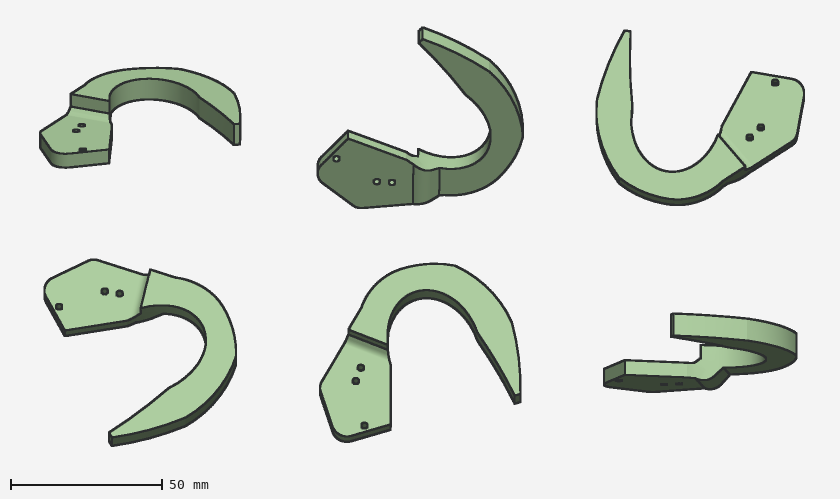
import cadquery as cq
import math


hook_top_y = 27.0
tip_x = 25.0
tip_upper_y = 22.1
tip_lower_y = 20.1
plate_bottom_y = hook_top_y - 67.0
plate_right_x = 20.0
plate_shoulder_y = -21.4

throat_half_width = 20.0
throat_half_height = 15.0

back_corner = (-25.0, 15.1)
back_curve_points = [(-28.1, 7.5), (-29.1, 1.8), (-28.9, -5.6), (-27.0, -11.0)]
back_curve_end = (-20.0, -19.0)

tip_upper_bulge = (14.6, 25.0)
tip_lower_bulge = (13.8, 18.3)
crown_bulge = (-12.6, 23.8)

plate_left_radius = 4.0
plate_right_radius = 5.0
hole_diameter = 2.1
hole_centres = [(-2.15, -24.8), (1.9, -27.8), (17.8, -29.8)]

hook_thickness = 7.5
plate_top_depth = 6.5
plate_thickness = 5.0
total_height = 12.0
wall_depth = 4.5

slab_width = 80.4
slab_length = 40.2

fold_point = (-13.8, -25.4)
fold_angle = 50.0
ramp_angle = math.radians(45)
ramp_depth = 1.2
heel_start = -7.2
heel_radius = 5.1
fold_half_length = 30.15
across_reach = 67.0


def make_outline():
    """Closed outline of hook and plate, extruded through the full height."""
    return (
        cq.Workplane("XY")
        .moveTo(tip_x, tip_lower_y)
        .lineTo(tip_x, tip_upper_y)
        .threePointArc(tip_upper_bulge, (0, hook_top_y))
        .threePointArc(crown_bulge, back_corner)
        .spline(back_curve_points + [back_curve_end], includeCurrent=True)
        .lineTo(0, plate_bottom_y)
        .lineTo(plate_right_x, plate_bottom_y)
        .lineTo(plate_right_x, plate_shoulder_y)
        .lineTo(0, -throat_half_height)
        .ellipseArc(throat_half_width, throat_half_height, 90, 270, startAtCurrent=True, sense=-1)
        .threePointArc(tip_lower_bulge, (tip_x, tip_lower_y))
        .close()
        .extrude(-total_height)
    )


def round_plate_corners(body):
    """Round the two lower corners of the plate."""
    corners = [(0, plate_left_radius), (plate_right_x, plate_right_radius)]
    for corner_x, radius in corners:
        corner = (corner_x, plate_bottom_y, -total_height / 2)
        body = body.edges(cq.selectors.NearestToPointSelector(corner)).fillet(radius)
    return body


def make_joggle():
    """Side profile of the joggle, swept along the fold direction."""
    ramp_end_depth = wall_depth + ramp_depth
    root_radius = (plate_top_depth - ramp_end_depth) / (1 - math.cos(ramp_angle))
    root_end = ramp_depth + root_radius * math.sin(ramp_angle)
    root_middle = (
        root_end - root_radius * math.sin(ramp_angle / 2),
        -plate_top_depth + root_radius * (1 - math.cos(ramp_angle / 2)),
    )

    heel_drop = heel_radius * (1 - math.cos(ramp_angle))
    heel_ramp = total_height - heel_drop - hook_thickness
    heel_arc_start = heel_start + heel_ramp
    heel_bottom = heel_arc_start + heel_radius * math.sin(ramp_angle)
    plate_bottom_depth = plate_top_depth + plate_thickness
    dip = total_height - plate_bottom_depth
    heel_end = heel_bottom + math.sqrt(heel_radius**2 - (heel_radius - dip) ** 2)

    across = (math.sin(math.radians(fold_angle)), -math.cos(math.radians(fold_angle)), 0)
    along = (-math.cos(math.radians(fold_angle)), -math.sin(math.radians(fold_angle)), 0)
    plane = cq.Plane(origin=(*fold_point, 0), xDir=across, normal=along)
    return (
        cq.Workplane(plane)
        .moveTo(-across_reach, 0)
        .lineTo(0, 0)
        .lineTo(0, -wall_depth)
        .lineTo(ramp_depth, -ramp_end_depth)
        .threePointArc(root_middle, (root_end, -plate_top_depth))
        .lineTo(across_reach, -plate_top_depth)
        .lineTo(across_reach, -plate_bottom_depth)
        .lineTo(heel_end, -plate_bottom_depth)
        .threePointArc((heel_bottom, -total_height), (heel_arc_start, heel_drop - total_height))
        .lineTo(heel_start, -hook_thickness)
        .lineTo(-across_reach, -hook_thickness)
        .close()
        .extrude(fold_half_length, both=True)
    )


def make_hook_slab():
    """Flat slab of hook thickness covering the half of the hook that lies away from the plate."""
    return (
        cq.Workplane("XY")
        .center(0, slab_length / 2)
        .rect(slab_width, slab_length)
        .extrude(-hook_thickness)
    )


def make_holes():
    """Screw holes through the plate."""
    return (
        cq.Workplane("XY")
        .pushPoints(hole_centres)
        .circle(hole_diameter / 2)
        .extrude(-total_height)
    )


outline = round_plate_corners(make_outline())
joggled_half = outline.intersect(make_joggle())
flat_half = outline.intersect(make_hook_slab())
result = joggled_half.union(flat_half).cut(make_holes()).clean()